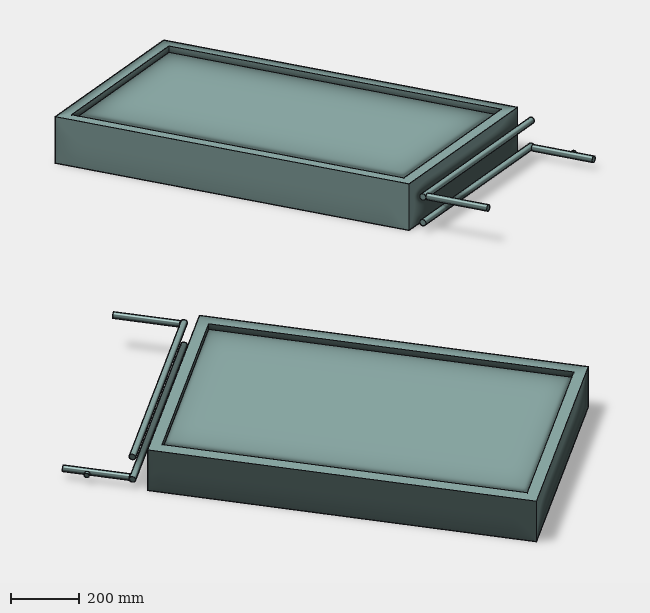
import cadquery as cq

tray_length = 1160.0
tray_width = 686.0
tray_height = 145.0
rim_width = 35.0
recess_depth = 20.0

overall_length = 1414.0
pipe_diameter = 20.0
pipe_radius = pipe_diameter / 2
header_gap = 35.0
pipe_inset = 33.0
header_x = tray_length + header_gap + pipe_radius
branch_start_x = header_x + pipe_radius
upper_z = tray_height - pipe_inset
lower_z = pipe_inset
branch_y = tray_width / 2 - pipe_radius

overall_width = 695.0
stub_diameter = 15.0
stub_end_distance = 75.0
stub_x = overall_length - stub_end_distance


def make_tray():
    block = cq.Workplane("XY").box(tray_length, tray_width, tray_height, centered=(False, True, False))
    return (
        block.faces(">Z")
        .workplane(centerOption="CenterOfBoundBox")
        .rect(tray_length - 2 * rim_width, tray_width - 2 * rim_width)
        .cutBlind(-recess_depth)
    )


def make_rod(start, direction, length, radius):
    return cq.Workplane(cq.Solid.makeCylinder(radius, length, cq.Vector(*start), cq.Vector(*direction)))


def make_header(z):
    return make_rod((header_x, -tray_width / 2, z), (0, 1, 0), tray_width, pipe_radius)


def make_branch(y, z):
    """Branch from the header's side to the free end."""
    return make_rod((branch_start_x, y, z), (1, 0, 0), overall_length - branch_start_x, pipe_radius)


def make_stub():
    """Stub standing on the outer side of the lower branch."""
    foot_y = branch_y + pipe_radius
    return make_rod((stub_x, foot_y, lower_z), (0, 1, 0), overall_width - tray_width, stub_diameter / 2)


tray = make_tray()

headers = [make_header(z) for z in (upper_z, lower_z)]
branches = [make_branch(side * branch_y, z) for side, z in ((-1, upper_z), (1, lower_z))]

stub = make_stub()

result = cq.Compound.makeCompound([
    tray.val(),
    *[header.val() for header in headers],
    *[branch.val() for branch in branches],
    stub.val(),
])